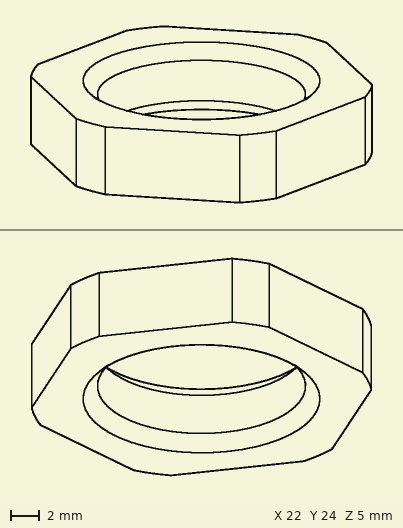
import cadquery as cq
import math

corner_diameter = 23.98
across_flats = 22.0
thickness = 5.0
bore_diameter = 14.58
mouth_diameter = 16.6

chamfer = (mouth_diameter - bore_diameter) / 2
sharp_corner_diameter = across_flats / math.cos(math.pi / 6)

hexagon = (
    cq.Workplane("XY")
    .polygon(6, sharp_corner_diameter)
    .extrude(thickness)
    .rotate((0, 0, 0), (0, 0, 1), 90)
)

corner_cylinder = cq.Workplane("XY").circle(corner_diameter / 2).extrude(thickness)
body = hexagon.intersect(corner_cylinder)

bored = body.faces(">Z").workplane(origin=(0, 0, 0)).hole(bore_diameter)
result = bored.edges("%CIRCLE").edges(cq.selectors.RadiusNthSelector(0)).chamfer(chamfer)